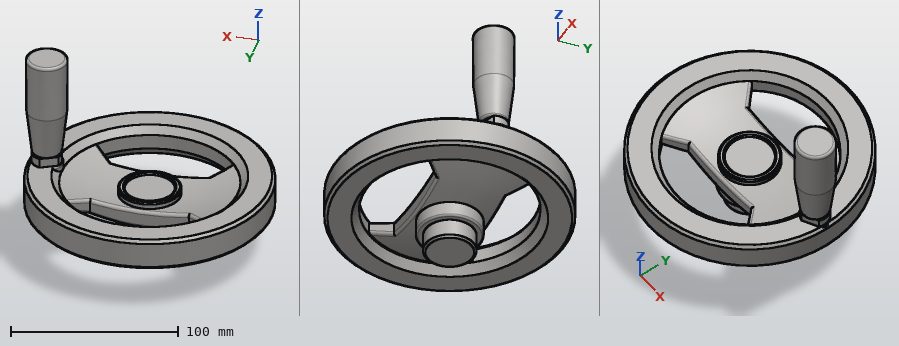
import cadquery as cq

spigot_height = 12.4
hub_shoulder_height = 22.4
rim_bottom = 25.5
rim_height = 20.0
rim_top = rim_bottom + rim_height
hub_top = 37.9
total_height = 117.1

rim_diameter = 150.0
rim_chamfer = 2.0
rim_mouth_diameter = 117.4
rim_throat_diameter = 108.2
rim_flare = (rim_mouth_diameter - rim_throat_diameter) / 2
upper_flare_height = rim_flare
lower_flare_height = 6.0

spigot_diameter = 32.0
spigot_chamfer = 1.4
shoulder_diameter = 40.6
shoulder_fillet = 1.2
hub_top_diameter = 38.0
hub_top_chamfer = 1.0
recess_diameter = 32.0
recess_depth = 1.0

web_overlap_into_rim = 1.5
web_radius = rim_throat_diameter / 2 + web_overlap_into_rim
web_mid_radius = 38.0
web_top_at_hub = 33.8
web_top_at_mid = 36.8
web_top_at_edge = 41.3
web_bottom_at_mid = 27.0
web_bottom_at_edge = 32.8
spoke_half_width = 22.7
spoke_straight_half_length = 30.6
spoke_widening = 35.0
spoke_fillet = 2.0

handle_x = 63.84
seat_diameter = 20.0
seat_fillet = 0.9
seat_bottom = (web_bottom_at_edge + web_top_at_edge) / 2

collar_diameter = 18.3
collar_height = 6.0
collar_across_flats = 14.2
flat_angle = 62.5
neck_diameter = 13.0
neck_height = 0.5
grip_bottom_diameter = 18.0
grip_waist_diameter = 24.5
grip_top_diameter = 25.0
grip_waist_height = 80.6
grip_bottom_fillet = 1.5
grip_top_fillet = 1.75


def revolve_about_z(points):
    """Full revolve about Z of a closed outline given as (radius, height) points."""
    return cq.Workplane("XZ").polyline(points).close().revolve(360, (0, 0, 0), (0, 1, 0))


def make_rim():
    outer = rim_diameter / 2
    mouth = rim_mouth_diameter / 2
    throat = rim_throat_diameter / 2
    return revolve_about_z([
        (mouth, rim_bottom),
        (outer - rim_chamfer, rim_bottom),
        (outer, rim_bottom + rim_chamfer),
        (outer, rim_top - rim_chamfer),
        (outer - rim_chamfer, rim_top),
        (mouth, rim_top),
        (throat, rim_top - upper_flare_height),
        (throat, rim_bottom + lower_flare_height),
    ])


def make_web():
    dish = (
        cq.Workplane("XZ")
        .moveTo(0, hub_shoulder_height)
        .lineTo(shoulder_diameter / 2, hub_shoulder_height)
        .threePointArc((web_mid_radius, web_bottom_at_mid), (web_radius, web_bottom_at_edge))
        .lineTo(web_radius, web_top_at_edge)
        .threePointArc((web_mid_radius, web_top_at_mid), (hub_top_diameter / 2, web_top_at_hub))
        .lineTo(0, web_top_at_hub)
        .close()
        .revolve(360, (0, 0, 0), (0, 1, 0))
    )
    inner_x = spoke_straight_half_length
    inner_y = spoke_half_width
    outer_x = inner_x + spoke_widening
    outer_y = inner_y + spoke_widening
    spokes = (
        cq.Workplane("XY")
        .polyline([
            (inner_x, inner_y), (outer_x, outer_y), (outer_x, -outer_y), (inner_x, -inner_y),
            (-inner_x, -inner_y), (-outer_x, -outer_y), (-outer_x, outer_y), (-inner_x, inner_y),
        ])
        .close()
        .extrude(rim_top)
    )
    web = dish.intersect(spokes)
    flank_edges = web.faces("#Z").faces("not %CYLINDER").edges("not |Z")
    return flank_edges.fillet(spoke_fillet)


def make_hub():
    spigot = (
        cq.Workplane("XY")
        .circle(spigot_diameter / 2)
        .extrude(spigot_height)
        .faces("<Z")
        .chamfer(spigot_chamfer)
    )
    shoulder = (
        cq.Workplane("XY", origin=(0, 0, spigot_height))
        .circle(shoulder_diameter / 2)
        .extrude(hub_shoulder_height - spigot_height)
        .faces("<Z")
        .edges()
        .fillet(shoulder_fillet)
    )
    boss = (
        cq.Workplane("XY", origin=(0, 0, hub_shoulder_height))
        .circle(hub_top_diameter / 2)
        .extrude(hub_top - hub_shoulder_height)
        .faces(">Z")
        .chamfer(hub_top_chamfer)
    )
    recess = revolve_about_z([
        (0, hub_top),
        (recess_diameter / 2, hub_top),
        (recess_diameter / 2 - recess_depth, hub_top - recess_depth),
        (0, hub_top - recess_depth),
    ])
    return spigot.union(shoulder).union(boss).cut(recess)


def make_handle_seat():
    return (
        cq.Workplane("XY", origin=(handle_x, 0, seat_bottom))
        .circle(seat_diameter / 2)
        .extrude(rim_top - seat_bottom)
        .faces(">Z")
        .edges()
        .fillet(seat_fillet)
    )


def make_wheel():
    return make_rim().union(make_web()).union(make_hub()).union(make_handle_seat())


def make_handle():
    flats = (
        cq.Workplane("XY")
        .rect(collar_across_flats, 2 * collar_diameter)
        .extrude(collar_height)
        .rotate((0, 0, 0), (0, 0, 1), -flat_angle)
    )
    collar = cq.Workplane("XY").circle(collar_diameter / 2).extrude(collar_height).intersect(flats)
    neck = (
        cq.Workplane("XY", origin=(0, 0, collar_height))
        .circle(neck_diameter / 2)
        .extrude(neck_height)
    )
    grip_bottom = collar_height + neck_height
    grip = revolve_about_z([
        (0, grip_bottom),
        (grip_bottom_diameter / 2, grip_bottom),
        (grip_waist_diameter / 2, grip_waist_height - rim_top),
        (grip_top_diameter / 2, total_height - rim_top),
        (0, total_height - rim_top),
    ])
    grip = grip.faces("<Z").edges().fillet(grip_bottom_fillet)
    grip = grip.faces(">Z").edges().fillet(grip_top_fillet)
    return collar.union(neck).union(grip).translate((handle_x, 0, rim_top))


wheel = make_wheel()
handle = make_handle()
result = cq.Compound.makeCompound([wheel.solids().val(), handle.solids().val()])